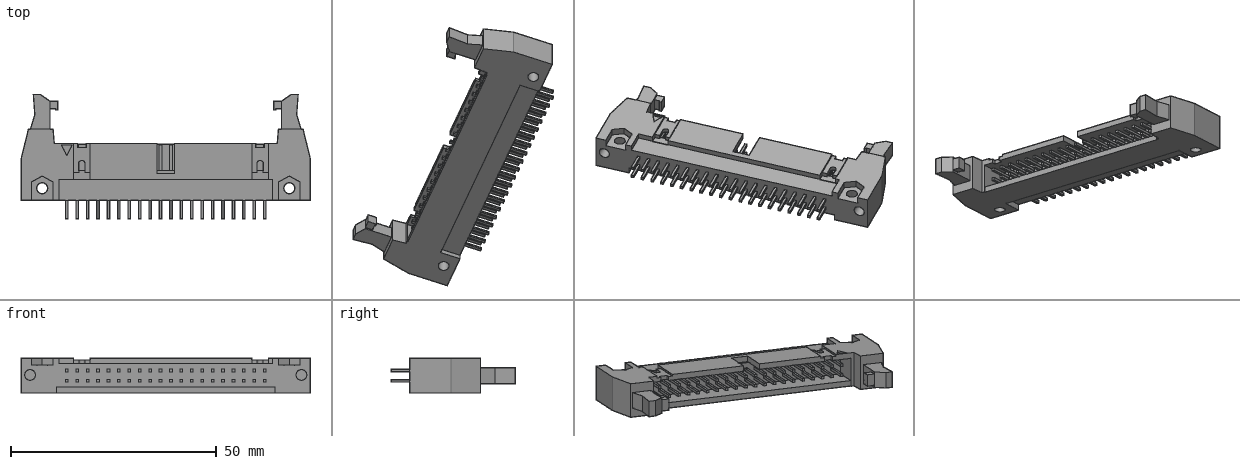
import cadquery as cq


length = 70.4
height = 8.5
half_length = length / 2
mid_height = height / 2

shroud_top = 13.9
block_top = 17.3
flank_start = 10.15
flank_inset = 1.75
block_inner_inset = 7.8
block_foot_inset = 8.1

wall = 1.4
cavity_floor = 7.3
cavity_half_length = 26.4
lower_wall_drop = 0.2

recess_reach = 5.1
upper_recess_half = 26.0
upper_recess_depth = 1.3
lower_recess_half = 26.6
lower_recess_depth = 1.5

hole_diameter = 2.6
pocket_x = 30.05
pocket_width = 5.15
pocket_shoulder = 4.5
pocket_tip = 5.9
pocket_depth = 1.7
mount_hole_y = 2.95
end_hole_x = 33.0
end_hole_z = 4.4
end_hole_depth = 2 * hole_diameter

left_channel_x = -20.4
right_channel_x = 22.95
channel_width = 4.0
channel_depth = 0.4
channel_step_end = 6.75
keyhole_width = 1.5
keyhole_tip = 9.7
mouth_notch_width = 2.05
mouth_notch_depth = 1.0

key_width = 4.2
key_bottom = 6.55

mark_x = -24.1
mark_width = 2.6
mark_base = 13.45
mark_tip = 10.9
mark_depth = 0.4

pin_count = 20
pin_pitch = 2.5
pin_size = 0.6
tail_length = 4.5
pin_top = 13.5

latch_top = 25.8
latch_height = 3.95
latch_tip_inset = 2.95
latch_bend_inset = 3.3
latch_bend_y = 20.85
latch_root_inset = 2.25
latch_inner_inset = 7.05
latch_nose_inset = 4.7
latch_nose_y = 24.15
latch_embed = 0.35
hook_height = 2.9
hook_inset = 8.95
hook_bottom = 22.25
hook_lip_bottom = 22.0
hook_lip_width = 0.55


def box(x_min, x_max, y_min, y_max, z_min, z_max):
    """Axis-aligned box between the given limits."""
    size = (x_max - x_min, y_max - y_min, z_max - z_min)
    return cq.Workplane("XY").box(*size, centered=False).translate((x_min, y_min, z_min))


def plate(points, z_min, z_max):
    """Closed outline in XY, extruded between two heights."""
    return cq.Workplane("XY").workplane(offset=z_min).polyline(points).close().extrude(z_max - z_min)


def both_ends(shape):
    """The shape together with its mirror image at the other end."""
    return shape.union(shape.mirror("YZ"))


def make_body():
    right_outline = [
        (half_length, 0),
        (half_length, flank_start),
        (half_length - flank_inset, block_top),
        (half_length - block_inner_inset, block_top),
        (half_length - block_foot_inset, shroud_top),
    ]
    left_outline = [(-x, y) for x, y in reversed(right_outline)]
    return plate(right_outline + left_outline, 0, height)


def make_cavity():
    pocket = box(-cavity_half_length, cavity_half_length, cavity_floor, shroud_top, wall, height - wall)
    lower_edge = box(
        -cavity_half_length, cavity_half_length, shroud_top - lower_wall_drop, shroud_top, 0, wall
    )
    return pocket.union(lower_edge)


def make_tail_recesses():
    upper = box(
        -upper_recess_half, upper_recess_half, 0, recess_reach, height - upper_recess_depth, height
    )
    lower = box(-lower_recess_half, lower_recess_half, 0, recess_reach, 0, lower_recess_depth)
    return upper.union(lower)


def make_mounting_cut():
    """Pointed pocket with a through hole, and the round hole in the tail-side face."""
    left = pocket_x - pocket_width / 2
    right = pocket_x + pocket_width / 2
    outline = [
        (left, 0),
        (right, 0),
        (right, pocket_shoulder),
        (pocket_x, pocket_tip),
        (left, pocket_shoulder),
    ]
    pocket = plate(outline, height - pocket_depth, height)
    mount_hole = cq.Workplane("XY").center(pocket_x, mount_hole_y).circle(hole_diameter / 2).extrude(height)
    end_hole = (
        cq.Workplane("XZ").center(end_hole_x, end_hole_z).circle(hole_diameter / 2).extrude(-end_hole_depth)
    )
    return pocket.union(mount_hole).union(end_hole)


def make_channel_cut(channel_x):
    """Shallow channel with a low step, a round-ended keyhole and a notch at the mouth."""
    left = channel_x - channel_width / 2
    right = channel_x + channel_width / 2
    step_level = height - wall
    channel = box(left, right, recess_reach, shroud_top, height - channel_depth, height)
    step = box(left, right, recess_reach, channel_step_end, step_level, height)
    radius = keyhole_width / 2
    arc_start = keyhole_tip - radius
    keyhole = (
        cq.Workplane("XY")
        .workplane(offset=step_level)
        .moveTo(channel_x - radius, recess_reach)
        .lineTo(channel_x + radius, recess_reach)
        .lineTo(channel_x + radius, arc_start)
        .threePointArc((channel_x, keyhole_tip), (channel_x - radius, arc_start))
        .close()
        .extrude(wall)
    )
    notch = box(
        channel_x - mouth_notch_width / 2,
        channel_x + mouth_notch_width / 2,
        shroud_top - mouth_notch_depth,
        shroud_top,
        height - wall,
        height,
    )
    return channel.union(step).union(keyhole).union(notch)


def make_key_slot():
    return box(-key_width / 2, key_width / 2, key_bottom, shroud_top, height - wall, height)


def make_pin_one_mark():
    left = mark_x - mark_width / 2
    right = mark_x + mark_width / 2
    return plate([(left, mark_base), (right, mark_base), (mark_x, mark_tip)], height - mark_depth, height)


def make_pins():
    half = pin_size / 2
    pins = cq.Workplane("XY")
    for column in range(pin_count):
        x = (column - (pin_count - 1) / 2) * pin_pitch
        for z in (mid_height - pin_pitch / 2, mid_height + pin_pitch / 2):
            pins = pins.add(box(x - half, x + half, -tail_length, pin_top, z - half, z + half))
    return pins.combine()


def make_latch():
    """Latch arm with an angled thumb side and an inward hook."""
    inner = half_length - latch_inner_inset
    root = half_length - latch_root_inset
    arm = (
        cq.Workplane("XY")
        .workplane(offset=mid_height - latch_height / 2)
        .moveTo(inner, block_top - latch_embed)
        .lineTo(root, block_top - latch_embed)
        .lineTo(root, block_top)
        .lineTo(half_length - latch_bend_inset, latch_bend_y)
        .lineTo(half_length - latch_tip_inset, latch_top)
        .lineTo(half_length - latch_nose_inset, latch_top)
        .lineTo(inner, latch_nose_y)
        .close()
        .extrude(latch_height)
    )
    hook_end = half_length - hook_inset
    hook_outline = [
        (inner, latch_nose_y),
        (hook_end, latch_nose_y),
        (hook_end, hook_lip_bottom),
        (hook_end + hook_lip_width, hook_lip_bottom),
        (hook_end + hook_lip_width, hook_bottom),
        (inner, hook_bottom),
    ]
    hook = plate(hook_outline, mid_height - hook_height / 2, mid_height + hook_height / 2)
    return arm.union(hook)


body = make_body().cut(make_cavity()).cut(make_tail_recesses())
body = body.cut(both_ends(make_mounting_cut()))
for channel_x in (left_channel_x, right_channel_x):
    body = body.cut(make_channel_cut(channel_x))
body = body.cut(make_key_slot()).cut(make_pin_one_mark())

result = body.union(make_pins()).union(both_ends(make_latch()))